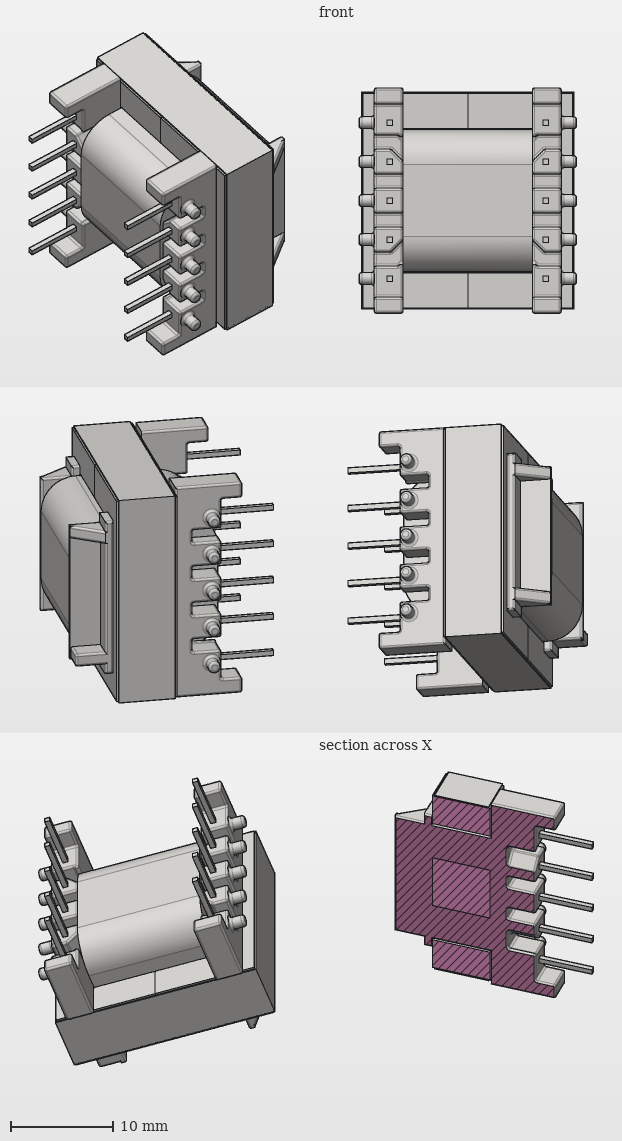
import cadquery as cq
import math


core_half_x = 10.23
core_half_y = 3.01
core_half_z = 10.47
window_half_x = 7.0
window_half_z = 7.05
leg_half_z = 2.95

tape_thickness = 0.13
tape_half_y = 2.82

winding_half_x = 6.31
winding_half_z = 6.95
winding_back_y = 6.95
winding_front_y = -7.95
winding_corner = 3.43

edge_round = 0.22
tube_wall = 0.88
cheek_thickness = 0.6
cheek_inner_x = winding_half_x
cheek_outer_x = cheek_inner_x + cheek_thickness
flange_inner_y = 3.08
flange_outer_x = 9.13
rail_half_z = 11.0
foot_tip_y = -9.77
foot_inner_z = 9.42
pin_seat_y = -7.68
notch_floor_y = -4.77
notch_width = 1.36
lead_kink_outer_x = 6.78
lead_kink_inner_x = 7.5
back_plate_y = 3.92
back_plate_half_z = 7.96
rib_thickness = 1.28
square_rib_y = 6.86

pins_per_row = 5
pin_pitch = 3.8
pin_x = 7.63
pin_width = 0.53
pin_tip_y = -13.18
post_y = -6.7
post_radius = 0.6
post_tip_span = 21.23
post_tip_x = post_tip_span / 2
post_round = 0.29

pin_heights = [(i - (pins_per_row - 1) / 2) * pin_pitch for i in range(pins_per_row)]


def block(x_range, y_range, z_range):
    """Box between the given limits."""
    size = [abs(b - a) for a, b in (x_range, y_range, z_range)]
    middle = [(a + b) / 2 for a, b in (x_range, y_range, z_range)]
    return cq.Workplane("XY").box(*size).translate(tuple(middle))


def prism(points, y_range):
    """XZ polygon extruded between two Y values."""
    depth = y_range[1] - y_range[0]
    return cq.Workplane("XZ", origin=(0, y_range[0], 0)).polyline(points).close().extrude(-depth)


def make_core_half():
    """E-shaped half on the +X side."""
    half = block((0, core_half_x), (-core_half_y, core_half_y), (-core_half_z, core_half_z))
    for z_range in ((leg_half_z, window_half_z), (-window_half_z, -leg_half_z)):
        half = half.cut(block((0, window_half_x), (-core_half_y, core_half_y), z_range))
    return half


def make_tape():
    """Closed band around the outside of the core."""
    x, z, t = core_half_x, core_half_z, tape_thickness
    band = block((-x - t, x + t), (-tape_half_y, tape_half_y), (-z - t, z + t))
    return band.cut(block((-x, x), (-tape_half_y, tape_half_y), (-z, z)))


def tube_outside(half_x):
    """Solid filling the outside of the bobbin tube over the given half length."""
    y = core_half_y + tube_wall
    z = leg_half_z + tube_wall
    return block((-half_x, half_x), (-y, y), (-z, z))


def make_winding():
    """Rounded block wound on the bobbin tube between the cheeks."""
    coil = block(
        (-winding_half_x, winding_half_x),
        (winding_front_y, winding_back_y),
        (-winding_half_z, winding_half_z),
    )
    coil = coil.edges("|X").fillet(winding_corner)
    return coil.cut(tube_outside(winding_half_x))


def notch(middle_z):
    """Straight notch through the rail."""
    half = notch_width / 2
    return block(
        (cheek_inner_x, flange_outer_x),
        (foot_tip_y, notch_floor_y),
        (middle_z - half, middle_z + half),
    )


def lead_notch(middle_z):
    """Notch of the upper half whose inner end slants at 45 degrees towards the middle."""
    top = middle_z + notch_width / 2
    bottom = middle_z - notch_width / 2
    points = [
        (flange_outer_x, top),
        (lead_kink_outer_x, top),
        (cheek_inner_x, top - (lead_kink_outer_x - cheek_inner_x)),
        (cheek_inner_x, bottom - (lead_kink_inner_x - cheek_inner_x)),
        (lead_kink_inner_x, bottom),
        (flange_outer_x, bottom),
    ]
    return prism(points, (foot_tip_y, notch_floor_y))


def make_rail():
    """Notched pin rail of the +X side, with a foot at each end."""
    rail = block(
        (cheek_inner_x, flange_outer_x),
        (foot_tip_y, -flange_inner_y),
        (-rail_half_z, rail_half_z),
    )
    rail = rail.cut(
        block((cheek_inner_x, flange_outer_x), (foot_tip_y, pin_seat_y), (-foot_inner_z, foot_inner_z))
    )
    for side in (-1, 1):
        rail = rail.cut(notch(side * pin_pitch / 2))
    slanted = lead_notch((pin_heights[-2] + pin_heights[-1]) / 2)
    rail = rail.cut(slanted).cut(slanted.mirror("XY"))
    return rail.edges("not ((|X and >Y) or (<X and >Y))").fillet(edge_round)


def make_post(z):
    """Round post on the +X rail with a flared root and a rounded tip."""
    diagonal = math.sqrt(0.5)
    root_x = flange_outer_x
    r = post_round
    profile = (
        cq.Workplane("XZ")
        .moveTo(root_x - edge_round, 0)
        .lineTo(root_x - edge_round, post_radius + r)
        .lineTo(root_x, post_radius + r)
        .threePointArc(
            (root_x + r * (1 - diagonal), post_radius + r * (1 - diagonal)), (root_x + r, post_radius)
        )
        .lineTo(post_tip_x - r, post_radius)
        .threePointArc(
            (post_tip_x - r * (1 - diagonal), post_radius - r * (1 - diagonal)),
            (post_tip_x, post_radius - r),
        )
        .lineTo(post_tip_x, 0)
        .close()
    )
    return profile.revolve(360, (0, 0, 0), (1, 0, 0)).translate((0, post_y, z))


def make_pin(z):
    """Square terminal pin standing on the +X rail."""
    half = pin_width / 2
    return block((pin_x - half, pin_x + half), (pin_tip_y, pin_seat_y), (z - half, z + half))


def make_rib(square):
    """Upper stiffening rib behind the back plate of the +X side: square or sloping."""
    z_low = winding_half_z - rib_thickness
    root_x = cheek_inner_x + edge_round
    root_y = flange_inner_y + edge_round
    if square:
        rib = block((root_x, flange_outer_x), (root_y, square_rib_y), (z_low, winding_half_z))
        return rib.edges(">X or >Y").fillet(edge_round)
    outline = [
        (root_x, root_y),
        (flange_outer_x, root_y),
        (flange_outer_x, back_plate_y),
        (cheek_outer_x, winding_back_y),
        (root_x, winding_back_y),
    ]
    rib = cq.Workplane("XY", origin=(0, 0, z_low)).polyline(outline).close().extrude(rib_thickness)
    slope_middle = (
        (flange_outer_x + cheek_outer_x) / 2,
        (back_plate_y + winding_back_y) / 2,
        winding_half_z - rib_thickness / 2,
    )
    slope = rib.faces(cq.selectors.NearestToPointSelector(slope_middle))
    return slope.edges("#Z").fillet(edge_round)


def make_flange(square_lower_rib):
    """Everything of the bobbin on the +X side outside the tube."""
    cheek = block(
        (cheek_inner_x, cheek_outer_x),
        (-flange_inner_y - edge_round, winding_back_y),
        (-winding_half_z, winding_half_z),
    )
    plate = block(
        (cheek_inner_x, flange_outer_x),
        (flange_inner_y, back_plate_y),
        (-back_plate_half_z, back_plate_half_z),
    )
    flange = make_rail().union(cheek.edges("<X").fillet(edge_round))
    flange = flange.union(plate.edges("not (|X or (<X and <Y))").fillet(edge_round))
    flange = flange.union(make_rib(False)).union(make_rib(square_lower_rib).mirror("XY"))
    for z in pin_heights:
        flange = flange.union(make_post(z)).union(make_pin(z))
    return flange


def make_bobbin():
    """Tube with a flange at each end; only the -X flange has the square rib."""
    bobbin = tube_outside(cheek_outer_x)
    bobbin = bobbin.union(make_flange(False)).union(make_flange(True).mirror("YZ"))
    return bobbin.cut(
        block((-cheek_outer_x, cheek_outer_x), (-core_half_y, core_half_y), (-leg_half_z, leg_half_z))
    )


core_right = make_core_half()
core_left = core_right.mirror("YZ")
tape = make_tape()
winding = make_winding()
bobbin = make_bobbin()

result = cq.Compound.makeCompound(
    [core_right.val(), core_left.val(), tape.val(), winding.val(), bobbin.val()]
)